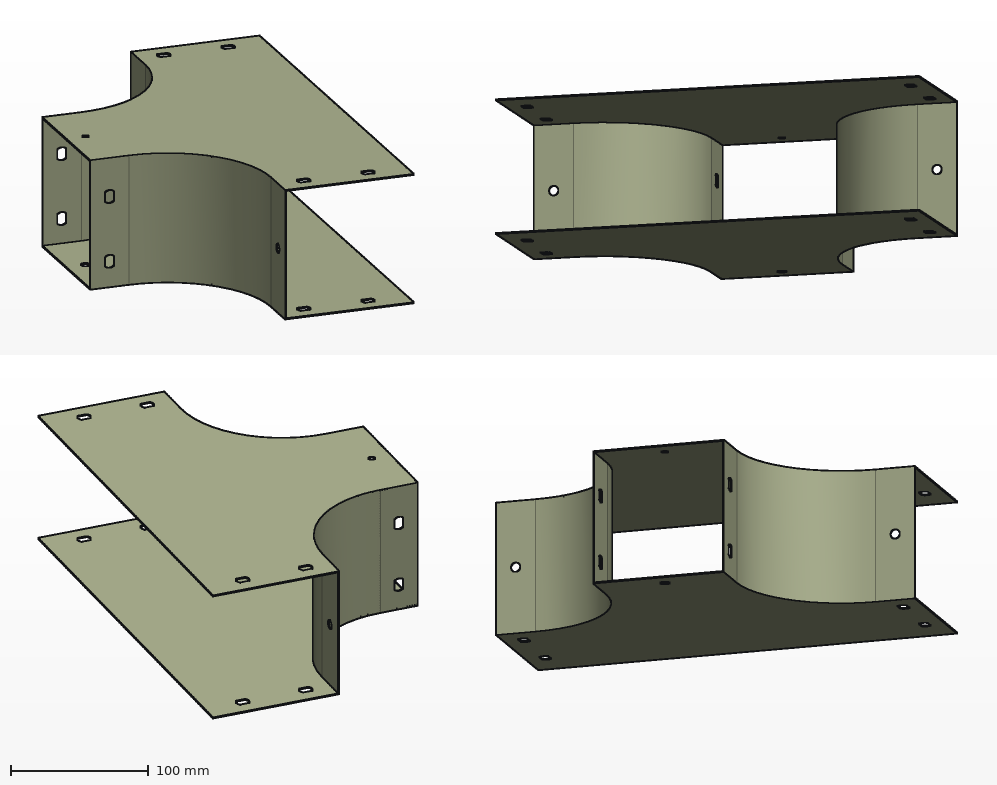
import cadquery as cq
import math


channel_width = 100.0
height = 100.0
bend_radius = 80.0
straight_length = 30.0
sheet = 1.0

hole_inset = 15.0
slot_width = 7.0
slot_length = 10.0
slot_first = 20.0
slot_pitch = 50.0
wall_hole_diameter = 7.0
top_hole_diameter = 5.0
bottom_hole_diameter = 7.0

half_branch = channel_width / 2
bend_center_x = half_branch + bend_radius
half_run = bend_center_x + straight_length
run_front = -channel_width
bend_center_y = run_front - bend_radius
branch_end = bend_center_y - straight_length
end_hole_x = half_run - hole_inset
end_hole_y = branch_end + hole_inset
slot_offsets = (slot_first, slot_first + slot_pitch)


def tee_prism(inset, depth):
    """Solid tee whose curved sides are moved inward by the inset; its open ends stay in place."""
    radius = bend_radius + inset
    front = run_front + inset
    branch_x = half_branch - inset
    diagonal = radius * math.sqrt(0.5)
    arc_x = bend_center_x - diagonal
    arc_y = bend_center_y + diagonal
    return (
        cq.Workplane("XY")
        .moveTo(-half_run, 0)
        .lineTo(-half_run, front)
        .lineTo(-bend_center_x, front)
        .threePointArc((-arc_x, arc_y), (-branch_x, bend_center_y))
        .lineTo(-branch_x, branch_end)
        .lineTo(branch_x, branch_end)
        .lineTo(branch_x, bend_center_y)
        .threePointArc((arc_x, arc_y), (bend_center_x, front))
        .lineTo(half_run, front)
        .lineTo(half_run, 0)
        .close()
        .extrude(depth)
    )


def sheet_tee():
    """Tee channel open at the back, at both run ends and at the branch end."""
    cavity = tee_prism(sheet, height - 2 * sheet).translate((0, 0, sheet))
    return tee_prism(0, height).cut(cavity)


def slot_prisms(workplane, depth, both=False):
    """Flat-sided round slots at the workplane points: a circle trimmed to the slot width."""
    rounds = workplane.circle(slot_length / 2).extrude(depth, both=both)
    flats = workplane.rect(slot_width, slot_length).extrude(depth, both=both)
    return rounds.intersect(flats)


def plate_slots():
    """Slots through both plates near the run ends, long in Y."""
    centers = [(side * end_hole_x, run_front + offset) for side in (-1, 1) for offset in slot_offsets]
    return slot_prisms(cq.Workplane("XY").pushPoints(centers), height)


def branch_wall_slots():
    """Slots through both branch walls, long in Z."""
    centers = [(end_hole_y, offset) for offset in slot_offsets]
    return slot_prisms(cq.Workplane("YZ").pushPoints(centers), half_branch, both=True)


def run_wall_holes():
    """Round holes through the flat front walls of the run, at mid height."""
    centers = [(side * end_hole_x, height / 2) for side in (-1, 1)]
    holes = cq.Workplane("XZ", origin=(0, run_front, 0)).pushPoints(centers)
    return holes.circle(wall_hole_diameter / 2).extrude(sheet, both=True)


def branch_plate_hole(diameter, bottom_z):
    """Round hole through one plate on the branch centerline."""
    hole = cq.Workplane("XY", origin=(0, end_hole_y, bottom_z))
    return hole.circle(diameter / 2).extrude(sheet)


result = (
    sheet_tee()
    .cut(plate_slots())
    .cut(branch_wall_slots())
    .cut(run_wall_holes())
    .cut(branch_plate_hole(top_hole_diameter, height - sheet))
    .cut(branch_plate_hole(bottom_hole_diameter, 0))
)